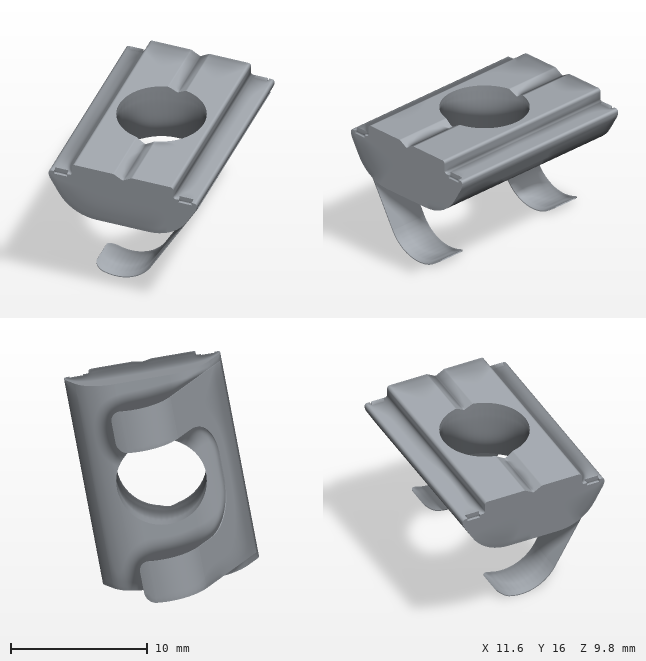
import cadquery as cq
import math

LENGTH = 16.0
WIDTH = 11.6
BODY_HEIGHT = 4.58
HOLE_DIAMETER = 6.62
BOSS_WIDTH = 7.94
LEDGE_DEPTH = 1.0
FLANK_TOP_DEPTH = 1.49
FLANK_END_DEPTH = 2.88
FLANK_ANGLE = math.radians(60)

BOSS_TOP_RADIUS = 0.24
BOSS_ROOT_RADIUS = 0.18
LEDGE_RADIUS = 0.22
FLANK_RADIUS = 0.96

GROOVE_WIDTH = 1.4
GROOVE_ANGLE = math.radians(30)
GROOVE_EDGE_RADIUS = 0.22
GROOVE_ROOT_RADIUS = 0.16

STAKE_CENTER_X = 4.88
STAKE_WIDTH = 1.02
NOTCH_LENGTH = 0.22
NOTCH_DEPTH = 0.22
BURR_LENGTH = 0.2
BURR_HEIGHT = 0.2

TOTAL_HEIGHT = 9.8
SPRING_THICKNESS = 0.08
SPRING_TOP_DEPTH = 1.76
SPRING_RADIUS = 3.17
SPRING_TIP_ANGLE = math.radians(34)
SPRING_WIDTH = 14.95
LEG_GAP = 8.48
ARCH_TOP_DEPTH = 3.8
ARCH_RADIUS = 3.2
TIP_CORNER_RADIUS = 0.8

half_width = WIDTH / 2
half_boss = BOSS_WIDTH / 2
flank_run = 1 / math.tan(FLANK_ANGLE)
flank_end_x = half_width - (FLANK_END_DEPTH - FLANK_TOP_DEPTH) * flank_run
belly_radius = (BODY_HEIGHT - FLANK_END_DEPTH) / (1 - math.cos(FLANK_ANGLE))
half_bottom = flank_end_x - belly_radius * math.sin(FLANK_ANGLE)


def make_body():
    """Extrude the nut section along Y and round its long edges."""
    half_groove = GROOVE_WIDTH / 2
    groove_depth = half_groove * math.tan(GROOVE_ANGLE)
    half_section = (
        cq.Workplane("XZ")
        .moveTo(0, -groove_depth)
        .lineTo(half_groove, 0)
        .lineTo(half_boss, 0)
        .lineTo(half_boss, -LEDGE_DEPTH)
        .lineTo(half_width, -LEDGE_DEPTH)
        .lineTo(half_width, -FLANK_TOP_DEPTH)
        .lineTo(flank_end_x, -FLANK_END_DEPTH)
        .tangentArcPoint((half_bottom, -BODY_HEIGHT), relative=False)
        .lineTo(0, -BODY_HEIGHT)
        .close()
        .extrude(LENGTH / 2, both=True)
    )
    body = half_section.union(half_section.mirror("YZ")).clean()

    def round_edges(solid, x, z, radius):
        for side in {x, -x}:
            edge = cq.selectors.NearestToPointSelector((side, 0, z))
            solid = solid.edges("|Y").edges(edge).fillet(radius)
        return solid

    body = round_edges(body, half_width, -FLANK_TOP_DEPTH, FLANK_RADIUS)
    body = round_edges(body, half_width, -LEDGE_DEPTH, LEDGE_RADIUS)
    body = round_edges(body, half_boss, -LEDGE_DEPTH, BOSS_ROOT_RADIUS)
    body = round_edges(body, half_boss, 0, BOSS_TOP_RADIUS)
    body = round_edges(body, half_groove, 0, GROOVE_EDGE_RADIUS)
    return round_edges(body, 0, -groove_depth, GROOVE_ROOT_RADIUS)


def add_stakes(body):
    """Notch the ends of both ledges and raise a wedge behind each notch."""
    ledge_z = -LEDGE_DEPTH
    notch_end_y = -LENGTH / 2 + NOTCH_LENGTH
    notch = cq.Workplane("XY").box(
        STAKE_WIDTH, 2 * NOTCH_LENGTH, 2 * NOTCH_DEPTH
    ).translate((0, -LENGTH / 2, ledge_z))
    burr = (
        cq.Workplane("YZ")
        .moveTo(notch_end_y, ledge_z - NOTCH_DEPTH)
        .lineTo(notch_end_y, ledge_z + BURR_HEIGHT)
        .lineTo(notch_end_y + BURR_LENGTH, ledge_z)
        .lineTo(notch_end_y + BURR_LENGTH, ledge_z - NOTCH_DEPTH)
        .close()
        .extrude(STAKE_WIDTH / 2, both=True)
    )
    for x in (-STAKE_CENTER_X, STAKE_CENTER_X):
        for turn in (0, 180):
            body = body.cut(notch.rotate((0, 0, 0), (0, 0, 1), turn).translate((x, 0, 0)))
            body = body.union(burr.rotate((0, 0, 0), (0, 0, 1), turn).translate((x, 0, 0)))
    return body


def make_spring():
    """Thin strip lying on the flank, curled at its free end and split into two legs."""
    normal_x = math.sin(FLANK_ANGLE)
    normal_z = -math.cos(FLANK_ANGLE)
    inner_radius = SPRING_RADIUS - SPRING_THICKNESS
    center_z = -TOTAL_HEIGHT + SPRING_RADIUS
    bend_depth = -(center_z + inner_radius * normal_z)
    bend_x = half_width - (bend_depth - FLANK_TOP_DEPTH) * flank_run
    center_x = bend_x - inner_radius * normal_x
    top_x = half_width - (SPRING_TOP_DEPTH - FLANK_TOP_DEPTH) * flank_run

    def on_curl(radius, angle):
        """Point on the curl; the angle runs from straight down toward -X."""
        return (center_x - radius * math.sin(angle), center_z - radius * math.cos(angle))

    bend_angle = -FLANK_ANGLE
    strip = (
        cq.Workplane("XZ")
        .moveTo(top_x, -SPRING_TOP_DEPTH)
        .lineTo(*on_curl(inner_radius, bend_angle))
        .threePointArc(on_curl(inner_radius, 0), on_curl(inner_radius, SPRING_TIP_ANGLE))
        .lineTo(*on_curl(SPRING_RADIUS, SPRING_TIP_ANGLE))
        .threePointArc(on_curl(SPRING_RADIUS, 0), on_curl(SPRING_RADIUS, bend_angle))
        .lineTo(top_x + SPRING_THICKNESS * normal_x, -SPRING_TOP_DEPTH + SPRING_THICKNESS * normal_z)
        .close()
        .extrude(SPRING_WIDTH / 2, both=True)
    )

    arch_x = half_width - (ARCH_TOP_DEPTH - FLANK_TOP_DEPTH) * flank_run
    flank_plane = cq.Plane(
        origin=(arch_x, 0, -ARCH_TOP_DEPTH), xDir=(0, 1, 0), normal=(normal_x, 0, normal_z)
    )
    gap = (
        cq.Workplane(flank_plane)
        .rect(LEG_GAP, 2 * TOTAL_HEIGHT)
        .extrude(TOTAL_HEIGHT, both=True)
        .edges(cq.selectors.ParallelDirSelector(flank_plane.zDir))
        .fillet(ARCH_RADIUS)
    )
    down_flank = cq.Vector(-math.cos(FLANK_ANGLE), 0, -math.sin(FLANK_ANGLE))
    strip = strip.cut(gap.translate(down_flank * TOTAL_HEIGHT))

    tip_x = on_curl(SPRING_RADIUS, SPRING_TIP_ANGLE)[0]
    leg_width = (SPRING_WIDTH - LEG_GAP) / 2
    leg_center_y = (SPRING_WIDTH + LEG_GAP) / 4
    for y in (-leg_center_y, leg_center_y):
        tip = (
            cq.Workplane("XY")
            .box(2 * TIP_CORNER_RADIUS, leg_width, 2 * TOTAL_HEIGHT)
            .translate((tip_x + TIP_CORNER_RADIUS, y, 0))
        )
        rounded_tip = tip.edges("|Z and <X").fillet(TIP_CORNER_RADIUS)
        strip = strip.cut(tip.cut(rounded_tip))
    return strip


hole = cq.Workplane("XY").circle(HOLE_DIAMETER / 2).extrude(-BODY_HEIGHT)
result = add_stakes(make_body()).cut(hole).union(make_spring())